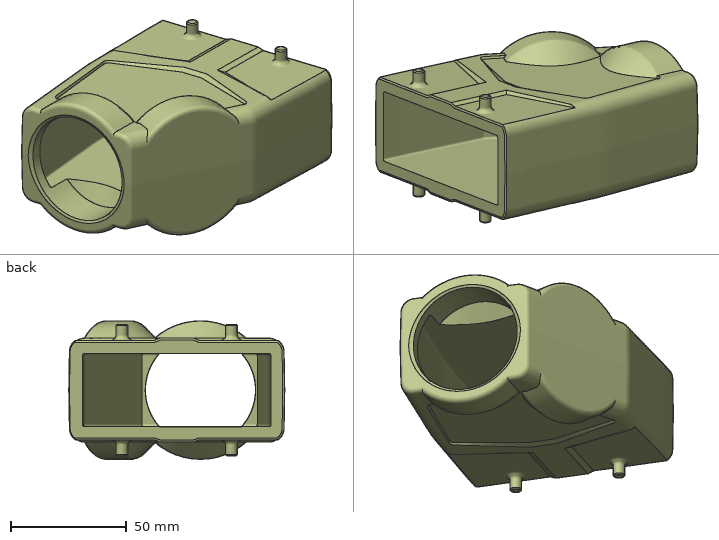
import cadquery as cq
import math

LENGTH = 110.2
BACK_HALF_WIDTH = 46.7
WAIST_HALF_WIDTH = 45.7
FRONT_LEFT = 40.2
HALF_HEIGHT = 22.5
DRAFT = 1.0
SIDE_FILLET = 6.0
FRONT_FILLET = 2.0

BACK_BEND_Y = 99.8
LEFT_BEND_Y = 54.2
GENTLE_RADIUS = 100.3
RIGHT_BEND_RADIUS = 6.6
ANGLED_FACE_X = 18.8
ANGLED_SLOPE = 0.49
RIGHT_BEND_Y = (WAIST_HALF_WIDTH - ANGLED_FACE_X) / ANGLED_SLOPE

WALL = 6.0
CAVITY_HALF_HEIGHT = 15.8
CAVITY_FILLET = 1.0

BOSS_RADIUS = 30.0
BOSS_DEPTH = 15.1
CONE_DEPTH = 25.3
BOSS_ROUND = 2.2
FRONT_BOSS_X = -10.2
ANGLED_BOSS_Y = 27.7
ANGLED_BOSS_SHIFT = 0.4

BORE_RADIUS = 23.8
MOUTH_CHAMFER = 1.9
MOUTH_CHAMFER_DEPTH = 1.0
BORE_DEPTH = 17.9
BORE_CONE_DEPTH = 22.4

SUNK_DEPTH = 1.0
SUNK_Z = HALF_HEIGHT - SUNK_DEPTH
POCKET_CORNER = 2.2
POCKET_RIM = [(-6.0, 73.9), (-38.0, 60.0), (-33.3, 15.2), (16.2, 15.2), (38.5, 59.8), (6.0, 73.9)]
POCKET_FLOOR = [(-5.3, 71.0), (-37.7, 59.7), (-32.7, 15.8), (15.9, 15.8), (37.8, 59.5), (5.3, 71.0)]
PANEL_RIM_CORNER = (7.3, 79.9)
PANEL_FLOOR_CORNER = (9.9, 81.9)
PANEL_OUTER_X = 49.6
PANEL_OUTER_Y = 67.8

PIN_X = 23.7
PIN_Y = 103.9
PIN_RADIUS = 2.5
PIN_TOP_Z = 28.4
PIN_CHAMFER = 0.5
FOOT_SIZE = 1.5
FOOT_TOP_FILLET = 1.7
FOOT_BASE_FILLET = 1.1

BACK_CHAMFER = 0.3
BACK_CHAMFER_INSET = 0.9

EXTRA = 11.0


def rounded_bend(before, corner, after, radius):
    """Start, middle and end of the arc that rounds a corner of an outline."""
    corner = cq.Vector(*corner)
    back = (cq.Vector(*before) - corner).normalized()
    ahead = (cq.Vector(*after) - corner).normalized()
    half_angle = back.getAngle(ahead) / 2
    tangent = radius / math.tan(half_angle)
    to_arc = radius / math.sin(half_angle) - radius
    middle = corner + (back + ahead).normalized() * to_arc
    return [(p.x, p.y) for p in (corner + back * tangent, middle, corner + ahead * tangent)]


def outline(corners, bend_radii, z=0):
    """Closed outline through the corners; bend_radii gives the radius of each rounded corner."""
    def corner_points(i):
        if i not in bend_radii:
            return [corners[i]]
        following = corners[(i + 1) % len(corners)]
        return rounded_bend(corners[i - 1], corners[i], following, bend_radii[i])

    path = cq.Workplane("XY", origin=(0, 0, z)).moveTo(*corners[0])
    for i in range(1, len(corners)):
        start, *arc = corner_points(i)
        path = path.lineTo(*start)
        if arc:
            path = path.threePointArc(*arc)
    return path.close()


def body_outline():
    """Plan of the body, run past the back face so that the back can be trimmed square."""
    back_y = LENGTH + EXTRA
    corners = [
        (-BACK_HALF_WIDTH, back_y),
        (-BACK_HALF_WIDTH, BACK_BEND_Y),
        (-WAIST_HALF_WIDTH, LEFT_BEND_Y),
        (-FRONT_LEFT, 0),
        (ANGLED_FACE_X, 0),
        (WAIST_HALF_WIDTH, RIGHT_BEND_Y),
        (BACK_HALF_WIDTH, BACK_BEND_Y),
        (BACK_HALF_WIDTH, back_y),
    ]
    bend_radii = {1: GENTLE_RADIUS, 2: GENTLE_RADIUS, 5: RIGHT_BEND_RADIUS, 6: GENTLE_RADIUS}
    return outline(corners, bend_radii)


def drafted_blank(height):
    """Body outline raised from the parting plane with drafted sides and a square back."""
    blank = body_outline().extrude(height, taper=DRAFT)
    beyond_back = cq.Workplane("XY", origin=(0, LENGTH, 0)).box(
        4 * BACK_HALF_WIDTH, 2 * EXTRA, height + EXTRA, centered=(True, False, False)
    )
    return blank.cut(beyond_back)


def body():
    """Upper half of the body, solid, with its outer edges rounded."""
    solid = drafted_blank(HALF_HEIGHT)
    side_edges = solid.faces(">Z").edges("not(<Y or >Y)")
    solid = side_edges.fillet(SIDE_FILLET)
    return solid.faces("<Y").edges("not <Z").fillet(FRONT_FILLET)


def sunken_area(rim, floor, bend_radii):
    """Cutter with sloping walls between a rim at the top of the body and a smaller floor."""
    floor_wire = outline(floor, bend_radii, SUNK_Z).wire().val()
    rim_wire = outline(rim, bend_radii, HALF_HEIGHT).wire().val()
    walls = cq.Workplane(cq.Solid.makeLoft([floor_wire, rim_wire], True))
    return walls.union(outline(rim, bend_radii, HALF_HEIGHT).extrude(EXTRA))


def pin_panel(side):
    """Sunken panel around a pin: side is -1 for the left one and 1 for the right one."""
    back_y = LENGTH + EXTRA

    def plan(inner_x, inner_y):
        corners = [
            (inner_x, back_y),
            (inner_x, inner_y),
            (PANEL_OUTER_X, PANEL_OUTER_Y),
            (PANEL_OUTER_X, back_y),
        ]
        return [(side * x, y) for x, y in corners]

    return sunken_area(plan(*PANEL_RIM_CORNER), plan(*PANEL_FLOOR_CORNER), {})


def central_pocket():
    """Pocket between the pin panels and the bosses, which cover its front right corners."""
    left_back, left_front, right_back = 1, 2, 4
    rounded = {i: POCKET_CORNER for i in (left_back, left_front, right_back)}
    return sunken_area(POCKET_RIM, POCKET_FLOOR, rounded)


def place_on_angled_face(solid):
    """Turn a solid built along +Y so that it points from the angled face into the body."""
    angle = 90 - math.degrees(math.atan(ANGLED_SLOPE))
    x = ANGLED_FACE_X + ANGLED_SLOPE * ANGLED_BOSS_Y
    shifted_out = solid.translate((0, -ANGLED_BOSS_SHIFT, 0))
    return shifted_out.rotate((0, 0, 0), (0, 0, 1), angle).translate((x, ANGLED_BOSS_Y, 0))


def boss_blank():
    """Cylinder along +Y with a rounded shoulder and a cone at its inner end."""
    cone_slope = (BOSS_RADIUS - SUNK_Z) / (CONE_DEPTH - BOSS_DEPTH)
    tip_radius = CAVITY_HALF_HEIGHT
    tip_depth = BOSS_DEPTH + (BOSS_RADIUS - tip_radius) / cone_slope
    tip = (tip_radius, tip_depth)
    mouth = (BOSS_RADIUS, -EXTRA)
    start, middle, end = rounded_bend(mouth, (BOSS_RADIUS, BOSS_DEPTH), tip, BOSS_ROUND)
    return (
        cq.Workplane("XY").moveTo(0, -EXTRA).lineTo(*mouth).lineTo(*start)
        .threePointArc(middle, end).lineTo(*tip).lineTo(0, tip_depth).close()
        .revolve(360, (0, 0), (0, 1))
    )


def boss(blank, outward):
    """Cap of a boss above the cavity, trimmed to the drafted outline, its outer rim rounded."""
    inner_slab = cq.Workplane("XY").box(
        4 * LENGTH, 4 * LENGTH, CAVITY_HALF_HEIGHT, centered=(True, True, False)
    )
    cap = blank.intersect(drafted_blank(HALF_HEIGHT + EXTRA)).cut(inner_slab)
    end_face = cap.faces(cq.selectors.DirectionMinMaxSelector(cq.Vector(*outward)))
    return end_face.edges("not <Z").fillet(FRONT_FILLET)


def bevel_back(solid):
    """Slim bevel around the back face, deeper than it is long along Y."""
    edges = solid.faces(">Y").edges("not <Z").vals()
    return cq.Workplane(solid.val().chamfer(BACK_CHAMFER_INSET, BACK_CHAMFER, edges))


def cavity():
    """Hollow that opens through the back face."""
    space = body_outline().offset2D(-WALL).extrude(CAVITY_HALF_HEIGHT)
    return space.faces(">Z").edges().fillet(CAVITY_FILLET)


def bore():
    """Bevelled bore through the front boss, closing down to the cavity with a cone."""
    profile = [
        (0, -EXTRA),
        (BORE_RADIUS + MOUTH_CHAMFER, -EXTRA),
        (BORE_RADIUS + MOUTH_CHAMFER, 0),
        (BORE_RADIUS, MOUTH_CHAMFER_DEPTH),
        (BORE_RADIUS, BORE_DEPTH),
        (CAVITY_HALF_HEIGHT, BORE_CONE_DEPTH),
        (0, BORE_CONE_DEPTH),
    ]
    return (
        cq.Workplane("XY").polyline(profile).close().revolve(360, (0, 0), (0, 1))
        .translate((FRONT_BOSS_X, 0, 0))
    )


def pin():
    """Pin with a bevelled tip on a conical foot that blends into its sunken panel."""
    foot_top = (PIN_RADIUS, SUNK_Z + FOOT_SIZE)
    foot_base = (PIN_RADIUS + FOOT_SIZE, SUNK_Z)
    shaft_end = (PIN_RADIUS, PIN_TOP_Z - PIN_CHAMFER)
    panel_end = (PIN_RADIUS + EXTRA, SUNK_Z)
    base_start, *base_arc = rounded_bend(panel_end, foot_base, foot_top, FOOT_BASE_FILLET)
    top_start, *top_arc = rounded_bend(foot_base, foot_top, shaft_end, FOOT_TOP_FILLET)
    root_z = SUNK_Z - SUNK_DEPTH
    return (
        cq.Workplane("XZ").moveTo(0, root_z).lineTo(base_start[0], root_z).lineTo(*base_start)
        .threePointArc(*base_arc).lineTo(*top_start).threePointArc(*top_arc)
        .lineTo(*shaft_end).lineTo(PIN_RADIUS - PIN_CHAMFER, PIN_TOP_Z)
        .lineTo(0, PIN_TOP_Z).close().revolve(360, (0, 0), (0, 1))
    )


upper = body().cut(central_pocket())
for side in (-1, 1):
    upper = upper.cut(pin_panel(side))
upper = bevel_back(upper)
for side in (-1, 1):
    upper = upper.union(pin().translate((side * PIN_X, PIN_Y, 0)))
upper = upper.union(boss(place_on_angled_face(boss_blank()), (1, -ANGLED_SLOPE, 0)))
upper = upper.union(boss(boss_blank().translate((FRONT_BOSS_X, 0, 0)), (0, -1, 0)))
upper = upper.cut(cavity()).cut(bore())

result = upper.union(upper.mirror("XY"))